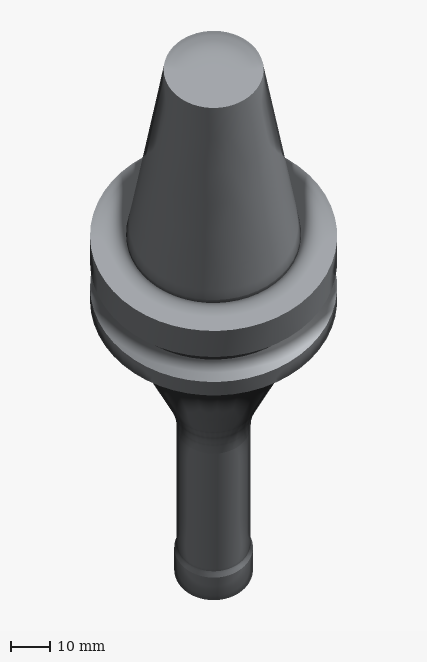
import cadquery as cq
import math

total_length = 200.5

tip_radius = 20.0 / 2
tip_height = 9.0
tip_shoulder_z = 10.8
neck_radius = 18.8 / 2
neck_top_z = 58.0
neck_fillet_radius = 30.0

cone_top_radius = 25.3
cone_half_angle = math.radians(21.0)

flange_radius = 63.0 / 2
flange_chamfer_z = 105.0
flange_bottom_z = 108.0
flange_top_z = 133.9
groove_radius = 53.0 / 2
groove_lower_edge_z = 113.5
groove_upper_edge_z = 123.5
groove_side_angle = math.radians(60.0)
groove_side_height = (flange_radius - groove_radius) / math.tan(groove_side_angle)

gauge_radius = 44.5 / 2
gauge_z = 135.0
taper_ratio = 7 / 24
taper_top_radius = gauge_radius - (total_length - gauge_z) * taper_ratio / 2


def neck_fillet_point(angle):
    """Point on the neck fillet where its tangent leans by angle from the axis."""
    radius = neck_radius + neck_fillet_radius * (1 - math.cos(angle))
    return radius, neck_top_z + neck_fillet_radius * math.sin(angle)


profile = (
    cq.Workplane("XZ")
    .lineTo(tip_radius, 0)
    .lineTo(tip_radius, tip_height)
    .lineTo(neck_radius, tip_shoulder_z)
    .lineTo(neck_radius, neck_top_z)
    .threePointArc(neck_fillet_point(cone_half_angle / 2), neck_fillet_point(cone_half_angle))
    .lineTo(cone_top_radius, flange_chamfer_z)
    .lineTo(flange_radius, flange_bottom_z)
    .lineTo(flange_radius, groove_lower_edge_z)
    .lineTo(groove_radius, groove_lower_edge_z + groove_side_height)
    .lineTo(groove_radius, groove_upper_edge_z - groove_side_height)
    .lineTo(flange_radius, groove_upper_edge_z)
    .lineTo(flange_radius, flange_top_z)
    .lineTo(gauge_radius, flange_top_z)
    .lineTo(gauge_radius, gauge_z)
    .lineTo(taper_top_radius, total_length)
    .lineTo(0, total_length)
    .close()
)

result = profile.revolve(360, (0, 0, 0), (0, 1, 0))